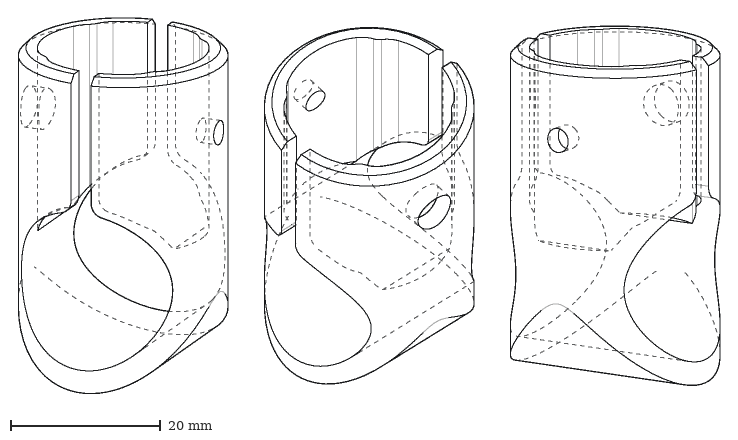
import cadquery as cq
import math

height = 44.25
outer_diameter = 28.0
top_chamfer = 1.0
bore_diameter = 22.9
bore_floor_z = 19.02
cross_hole_diameter = 22.05
cross_hole_z = 14.2
slot_width = 2.9
slot_fillet = 2.0
screw_z = 34.2
screw_diameter = 3.27
screw_access_diameter = 5.57
rib_tip_radius = 11.0
rib_radius = 2.0
rib_root_fillet = 4.5
rib_angles = (45, 135, 225, 315)

outer_radius = outer_diameter / 2
bore_radius = bore_diameter / 2
cross_radius = cross_hole_diameter / 2
cross_cut_length = 2 * outer_diameter


def make_body():
    """Chamfered cylinder with its lower end rounded about the cross hole axis."""
    body = cq.Workplane("XY").circle(outer_radius).extrude(height)
    body = body.faces(">Z").chamfer(top_chamfer)
    end_radius = cross_hole_z
    envelope = (
        cq.Workplane("XZ", origin=(0, 0, cross_hole_z))
        .circle(end_radius)
        .extrude(outer_radius, both=True)
    )
    upper = cq.Workplane("XY", origin=(0, 0, cross_hole_z)).circle(outer_diameter).extrude(height)
    return body.intersect(envelope.union(upper))


def make_bore():
    """Blind bore from the top, less four rounded ribs running along its wall."""
    bore_depth = height - bore_floor_z
    base = cq.Workplane("XY", origin=(0, 0, bore_floor_z))
    bore = base.circle(bore_radius).extrude(bore_depth)
    rib_distance = rib_tip_radius + rib_radius
    for angle in rib_angles:
        x = rib_distance * math.cos(math.radians(angle))
        y = rib_distance * math.sin(math.radians(angle))
        bore = bore.cut(base.center(x, y).circle(rib_radius).extrude(bore_depth))
    reach = 0.95 * bore_radius
    rib_edge_selector = cq.selectors.BoxSelector(
        (-reach, -reach, bore_floor_z),
        (reach, reach, height),
    )
    return bore.edges("|Z").edges(rib_edge_selector).fillet(rib_root_fillet)


def make_cross_cut():
    """Cross hole along Y with a clamping slot that blends into it and opens at the top."""
    hole = (
        cq.Workplane("XZ", origin=(0, 0, cross_hole_z))
        .circle(cross_radius)
        .extrude(cross_cut_length / 2, both=True)
    )
    slot_height = height - cross_hole_z
    slot = cq.Workplane("XY", origin=(0, 0, cross_hole_z)).box(
        slot_width, cross_cut_length, slot_height, centered=(True, True, False)
    )
    corner_z = cross_hole_z + math.sqrt(cross_radius**2 - (slot_width / 2) ** 2)
    margin = 0.45
    corner_selector = cq.selectors.BoxSelector(
        (-slot_width, -margin, corner_z - margin),
        (slot_width, margin, corner_z + margin),
    )
    return hole.union(slot).edges("|Y").edges(corner_selector).fillet(slot_fillet)


def make_screw_hole():
    """Screw hole through the +X wall, with a wider access hole through the -X wall."""
    axis_plane = cq.Workplane("YZ", origin=(0, 0, screw_z))
    screw = axis_plane.circle(screw_diameter / 2).extrude(outer_radius)
    access = axis_plane.circle(screw_access_diameter / 2).extrude(-outer_radius)
    return screw.union(access)


result = make_body().cut(make_bore()).cut(make_cross_cut()).cut(make_screw_hole())